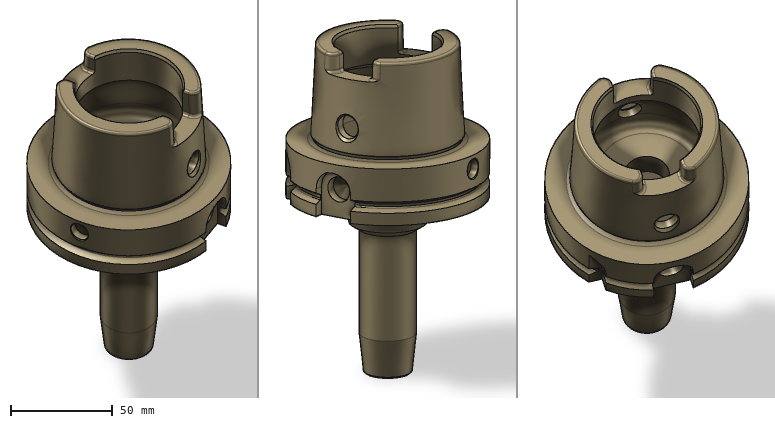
import cadquery as cq
import math

total_height = 169.9
flange_top = 120.0
flange_bottom = 90.9

shaft_radius = 14.1
nose_tip_radius = 12.0
nose_length = 20.0
nose_chamfer = 0.8
neck_radius = 19.2
neck_bottom = 77.3
neck_cone_bottom = 73.9
neck_fillet = 10.0

flange_diameter = 100.0
flange_radius = flange_diameter / 2
groove_floor_diameter = 92.3
groove_floor_radius = groove_floor_diameter / 2
groove_top = 103.0
groove_bottom = 97.2
groove_flank_height = 1.7
groove_fillet = 0.8

shank_top_diameter = 70.8
shank_top_radius = shank_top_diameter / 2
shank_taper = 0.05
relief_height = 2.5
relief_radius = 36.9
relief_chamfer_height = 0.5
relief_foot_radius = 39.5
relief_foot_height = 0.7
rim_fillet = 1.5

mouth_radius = 26.5
mouth_chamfer_width = 0.8
mouth_chamfer_depth = 1.5
mouth_depth = 19.9
clamp_radius = 31.8
clamp_shoulder_angle = 30.0
clamp_depth = 39.6
bore_floor_radius = 24.8
coolant_radius = 11.2
coolant_depth = 13.6
pilot_radius = 1.4
pilot_chamfer = 0.5
pilot_depth = 5.1

key_width = 20.0
shallow_key_depth = 10.0
deep_key_depth = 15.0
key_corner_radius = 4.2
key_floor_fillet = 1.7
access_hole_radius = 6.0
access_hole_level = 135.2
access_hole_chamfer = 1.2
access_sink_clearance = 1.0

flange_slot_floor = 44.2
flange_slot_level = 105.3
notch_floor = 32.1
notch_centre = 41.6
dimple_diameter = 12.7
dimple_radius = dimple_diameter / 2
dimple_depth = 5.1
drill_half_angle = 59.0

chip_diameter = 9.7
chip_radius = chip_diameter / 2
chip_level = 112.8
chip_depth = 4.6
chip_chamfer = 0.5
chip_pilot_radius = 0.7
chip_pilot_depth = 1.4


def fillet_edge_at(body, point, radius):
    """Round the edge whose centre lies nearest to the point."""
    return body.edges(cq.selectors.NearestToPointSelector(point)).fillet(radius)


def make_body():
    """Turned outside shape: nose, neck, grooved flange and taper shank."""
    relief_top = flange_top + relief_height
    shank_base_radius = shank_top_radius + shank_taper * (total_height - relief_top)
    groove_upper_floor = groove_top - groove_flank_height
    groove_lower_floor = groove_bottom + groove_flank_height
    fillet_mid = neck_fillet * (1 - math.sqrt(0.5))
    body = (
        cq.Workplane("YZ")
        .moveTo(0, 0)
        .lineTo(nose_tip_radius - nose_chamfer, 0)
        .lineTo(nose_tip_radius, nose_chamfer)
        .lineTo(shaft_radius, nose_length)
        .lineTo(shaft_radius, neck_cone_bottom)
        .lineTo(neck_radius, neck_bottom)
        .lineTo(neck_radius, flange_bottom - neck_fillet)
        .threePointArc(
            (neck_radius + fillet_mid, flange_bottom - fillet_mid),
            (neck_radius + neck_fillet, flange_bottom),
        )
        .lineTo(flange_radius, flange_bottom)
        .lineTo(flange_radius, groove_bottom)
        .lineTo(groove_floor_radius, groove_lower_floor)
        .lineTo(groove_floor_radius, groove_upper_floor)
        .lineTo(flange_radius, groove_top)
        .lineTo(flange_radius, flange_top)
        .lineTo(relief_foot_radius, flange_top)
        .lineTo(relief_radius, flange_top + relief_foot_height)
        .lineTo(relief_radius, relief_top - relief_chamfer_height)
        .lineTo(shank_base_radius, relief_top)
        .lineTo(shank_top_radius, total_height)
        .lineTo(0, total_height)
        .close()
        .revolve(360, (0, 0), (0, 1))
    )
    for level in (groove_lower_floor, groove_upper_floor):
        body = fillet_edge_at(body, (0, 0, level), groove_fillet)
    return body


def make_bore():
    """Stepped bore with a clamping undercut, coolant hole and pilot hole."""
    mouth_bottom = total_height - mouth_depth
    shoulder_height = (clamp_radius - mouth_radius) * math.tan(math.radians(clamp_shoulder_angle))
    clamp_bottom = total_height - clamp_depth
    floor_fillet = clamp_radius - bore_floor_radius
    bore_floor = clamp_bottom - floor_fillet
    fillet_mid = floor_fillet * math.sqrt(0.5)
    coolant_floor = bore_floor - coolant_depth
    pilot_floor = coolant_floor - pilot_depth
    return (
        cq.Workplane("YZ")
        .moveTo(0, pilot_floor)
        .lineTo(pilot_radius, pilot_floor)
        .lineTo(pilot_radius, coolant_floor - pilot_chamfer)
        .lineTo(pilot_radius + pilot_chamfer, coolant_floor)
        .lineTo(coolant_radius, coolant_floor)
        .lineTo(coolant_radius, bore_floor)
        .lineTo(bore_floor_radius, bore_floor)
        .threePointArc(
            (bore_floor_radius + fillet_mid, clamp_bottom - fillet_mid),
            (clamp_radius, clamp_bottom),
        )
        .lineTo(clamp_radius, mouth_bottom - shoulder_height)
        .lineTo(mouth_radius, mouth_bottom)
        .lineTo(mouth_radius, total_height - mouth_chamfer_depth)
        .lineTo(mouth_radius + mouth_chamfer_width, total_height)
        .lineTo(0, total_height)
        .close()
        .revolve(360, (0, 0), (0, 1))
    )


def cut_key_slot(body, side, depth):
    """Open-topped drive slot through the shank wall on the given X side."""
    slot = (
        cq.Workplane("XY", origin=(side * flange_radius / 2, 0, total_height - depth))
        .rect(flange_radius, key_width)
        .extrude(depth)
    )
    return body.cut(slot)


def make_flange_slot(floor, centre_y):
    """Round-topped slot, open downward and toward -X, with its floor at x = -floor."""
    half_width = key_width / 2
    return (
        cq.Workplane("YZ", origin=(-floor, 0, 0))
        .moveTo(centre_y - half_width, flange_bottom)
        .lineTo(centre_y - half_width, flange_slot_level)
        .threePointArc(
            (centre_y, flange_slot_level + half_width),
            (centre_y + half_width, flange_slot_level),
        )
        .lineTo(centre_y + half_width, flange_bottom)
        .close()
        .extrude(-flange_radius)
    )


def make_dimple():
    """Drilled hole with a conical end in the floor of the -X flange slot."""
    tip = dimple_depth + dimple_radius / math.tan(math.radians(drill_half_angle))
    return (
        cq.Workplane("XY", origin=(-flange_slot_floor, 0, flange_slot_level))
        .lineTo(0, dimple_radius)
        .lineTo(dimple_depth, dimple_radius)
        .lineTo(tip, 0)
        .close()
        .revolve(360, (0, 0), (1, 0))
    )


def make_access_hole():
    """Hole along X through both shank walls, countersunk at 45 degrees from outside."""
    wall_radius = shank_top_radius + shank_taper * (total_height - access_hole_level)
    sink_bottom = wall_radius - access_hole_chamfer
    sink_top = wall_radius + access_sink_clearance
    sink_radius = access_hole_radius + sink_top - sink_bottom
    return (
        cq.Workplane("XY", origin=(0, 0, access_hole_level))
        .moveTo(-sink_top, 0)
        .lineTo(-sink_top, sink_radius)
        .lineTo(-sink_bottom, access_hole_radius)
        .lineTo(sink_bottom, access_hole_radius)
        .lineTo(sink_top, sink_radius)
        .lineTo(sink_top, 0)
        .close()
        .revolve(360, (0, 0), (1, 0))
    )


def make_chip_hole():
    """Chamfered blind hole in the -Y side of the flange, with a centre pilot."""
    floor = -flange_radius + chip_depth
    pilot_end = floor + chip_pilot_depth
    lip = -flange_radius + chip_chamfer
    return (
        cq.Workplane("XY", origin=(0, 0, chip_level))
        .moveTo(0, pilot_end)
        .lineTo(chip_pilot_radius, pilot_end)
        .lineTo(chip_pilot_radius, floor)
        .lineTo(chip_radius, floor)
        .lineTo(chip_radius, lip)
        .lineTo(chip_radius + 2 * chip_chamfer, lip - 2 * chip_chamfer)
        .lineTo(0, lip - 2 * chip_chamfer)
        .close()
        .revolve(360, (0, 0), (0, 1))
    )


def mirrored_in_x(tool):
    """The tool together with its mirror image on the +X side."""
    return tool.union(tool.mirror("YZ"))


result = make_body().cut(make_bore()).cut(make_access_hole())

key_depths = {-1: shallow_key_depth, 1: deep_key_depth}
wall_sides = (-1, 1)
key_wall_mid = (mouth_radius + shank_top_radius) / 2 - key_corner_radius / 2
for side, depth in key_depths.items():
    result = cut_key_slot(result, side, depth)
    for wall in wall_sides:
        corner = (side * shank_top_radius, wall * key_width / 2, total_height - depth / 2)
        result = fillet_edge_at(result, corner, key_corner_radius)
    for wall in wall_sides:
        floor_corner = (side * key_wall_mid, wall * key_width / 2, total_height - depth)
        result = fillet_edge_at(result, floor_corner, key_floor_fillet)
for wall in wall_sides:
    beyond_rim = cq.selectors.NearestToPointSelector((0, wall * flange_radius, total_height))
    result = result.faces(">Z").edges(beyond_rim).fillet(rim_fillet)

result = (
    result.cut(mirrored_in_x(make_flange_slot(flange_slot_floor, 0)))
    .cut(make_flange_slot(notch_floor, notch_centre))
    .cut(mirrored_in_x(make_dimple()))
    .cut(make_chip_hole())
)